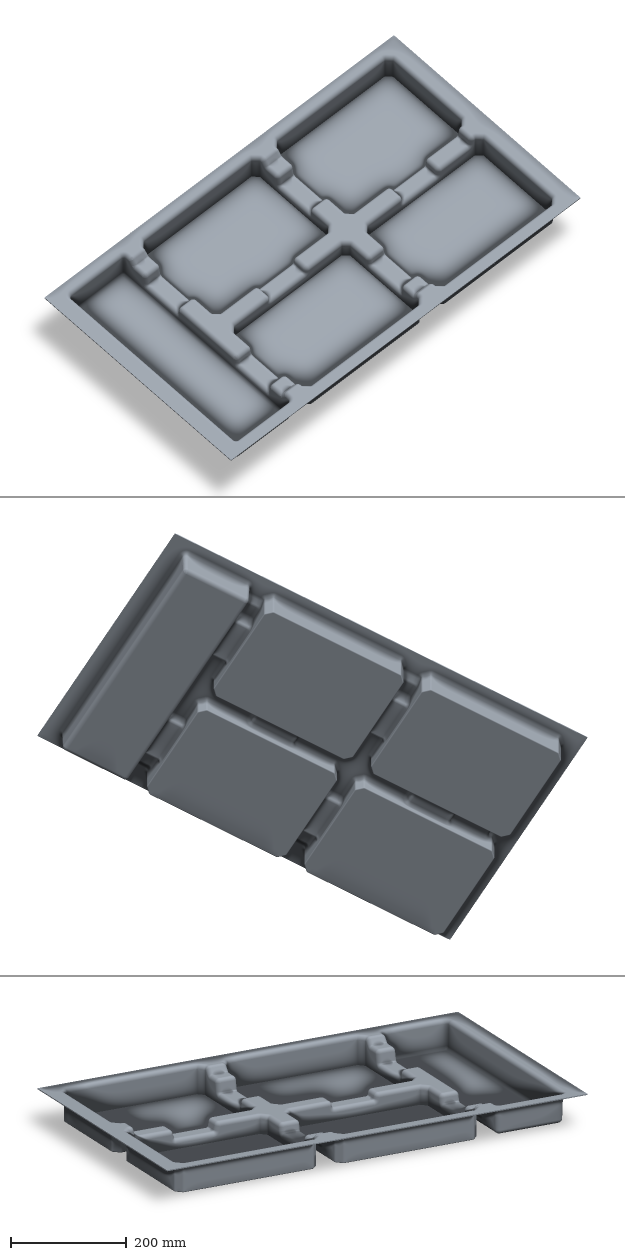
import cadquery as cq
import math

width = 474.0
length = 824.0
height = 56.0
sheet = 2.0
rim_radius = 8.0
block_depth = 2 * height

compartment_edge_x = 212.0
centre_rib_half = 17.5
tub_length = 274.5
tub_chamfer = 10.5
tub_corner_radius = 3.0
tub_bend_radius = 2.0
upper_tub_y = 240.0
lower_tub_y = -74.3
drawer_y = -313.0
drawer_length = 129.5
drawer_draft = 2.0
drawer_corner_radius = 6.0
drawer_floor_radius = 6.0

lip_radius = rim_radius
foot_radius = 3.0
step_slope = 10.0
end_slope = 40.0
shelf_depth = 19.0
end_shelf_depth = 12.0
saddle_depth = 36.5
long_dip_depth = 32.0
rib_overlap = 12.0
trough_top = 20.0
trough_run_out = 12.0
long_run_in = 110.0
strip_half = 5.0
edge_margin = 1.0
level_tolerance = 0.1

half_cross_steps = [
    (-190.5, 0, end_shelf_depth, end_slope),
    (-156, end_shelf_depth, saddle_depth, step_slope),
    (-75, saddle_depth, shelf_depth, step_slope),
]
cross_steps = half_cross_steps + [
    (-place, after, before, slope) for place, before, after, slope in reversed(half_cross_steps)
]
long_steps = [
    (-115, shelf_depth, long_dip_depth, step_slope),
    (-31, long_dip_depth, shelf_depth, step_slope),
    (198, shelf_depth, saddle_depth, step_slope),
    (280, saddle_depth, shelf_depth, step_slope),
    (356.5, shelf_depth, 0, step_slope),
]

cross_ribs = [
    (lower_tub_y + tub_length / 2, upper_tub_y - tub_length / 2),
    (drawer_y + drawer_length / 2, lower_tub_y - tub_length / 2),
]


def tub_cutter(x_sign, y, grow):
    """A chamfered tub, its walls and floor moved outward by grow."""
    x = x_sign * (compartment_edge_x + centre_rib_half) / 2
    half_x = (compartment_edge_x - centre_rib_half) / 2 + grow
    half_y = tub_length / 2 + grow
    leg = tub_chamfer + grow * (2 - math.sqrt(2))
    outline = [
        (half_x, half_y - leg),
        (half_x - leg, half_y),
        (leg - half_x, half_y),
        (-half_x, half_y - leg),
        (-half_x, leg - half_y),
        (leg - half_x, -half_y),
        (half_x - leg, -half_y),
        (half_x, leg - half_y),
    ]
    tub = (
        cq.Workplane("XY")
        .polyline(outline)
        .close()
        .extrude(-(height - sheet + grow))
        .edges("|Z")
        .fillet(tub_corner_radius + grow)
    )
    if grow > 0:
        tub = tub.faces("<Z").edges().fillet(tub_bend_radius)
    return tub.translate((x, y, 0))


def drawer_cutter(grow):
    """The wide rounded compartment across the front."""
    drawer = (
        cq.Workplane("XY")
        .sketch()
        .rect(2 * (compartment_edge_x + grow), drawer_length + 2 * grow)
        .vertices()
        .fillet(drawer_corner_radius + grow)
        .finalize()
        .extrude(-(height - sheet + grow), taper=drawer_draft)
    )
    drawer = drawer.faces("<Z").edges().fillet(drawer_floor_radius + grow)
    return drawer.translate((0, drawer_y, 0))


def saddle_cutter(plane, steps, half_width, run_in, grow):
    """A stepped trough along a rib, its lips and feet rounded."""
    outline = []
    radii = []
    for place, before, after, slope in steps:
        lean = math.radians(slope)
        shift = grow * (1 - math.sin(lean)) / math.cos(lean)
        half_run = abs(after - before) * math.tan(lean) / 2
        goes_down = after > before
        middle = place - shift if goes_down else place + shift
        outline.append((middle - half_run, -before - grow))
        outline.append((middle + half_run, -after - grow))
        lip_then_foot = [lip_radius - grow, foot_radius + grow]
        radii += lip_then_foot if goes_down else lip_then_foot[::-1]
    first_place = outline[0][0] - run_in
    last_place = outline[-1][0] + trough_run_out
    trough = (
        cq.Workplane(plane)
        .moveTo(first_place, trough_top)
        .lineTo(first_place, outline[0][1])
        .polyline(outline, includeCurrent=True)
        .lineTo(last_place, -grow)
        .lineTo(last_place, trough_top)
        .close()
        .extrude(half_width, both=True)
    )
    for corner, radius in zip(outline, radii):
        place = cq.Plane.named(plane).toWorldCoords(corner).toTuple()
        trough = trough.edges(cq.selectors.NearestToPointSelector(place)).fillet(radius)
    return trough


def strip(x_half, y_low, y_high):
    """Selects edges whose centre lies along the middle of a rib."""
    return cq.selectors.BoxSelector((-x_half, y_low, -height), (x_half, y_high, height))


def level(z):
    """Selects edges lying at height z inside the flange outline."""
    x = width / 2 - edge_margin
    y = length / 2 - edge_margin
    low = (-x, -y, z - level_tolerance)
    high = (x, y, z + level_tolerance)
    return cq.selectors.BoxSelector(low, high, boundingbox=True)


def rim_edges(grow):
    """Selects the compartment rims, leaving out the lines that cross the ribs."""
    rims = level(-grow) + level(-shelf_depth - grow)
    for low, high in cross_ribs:
        middle = (low + high) / 2
        rims = rims - strip(width, middle - strip_half, middle + strip_half)
    return rims - strip(strip_half, lower_tub_y - tub_length / 2 + strip_half, length)


def formed_block(grow):
    """Everything below the tray's upper face, that face moved down and outward by grow."""
    block = cq.Workplane("XY").box(width, length, block_depth, centered=(True, True, False))
    block = block.translate((0, 0, -grow - block_depth))
    for y in (upper_tub_y, lower_tub_y):
        for side in (-1, 1):
            block = block.cut(tub_cutter(side, y, grow))
    block = block.cut(drawer_cutter(grow))
    for low, high in cross_ribs:
        half_width = (high - low) / 2 + rib_overlap
        trough = saddle_cutter("XZ", cross_steps, half_width, trough_run_out, grow)
        block = block.cut(trough.translate((0, (low + high) / 2, 0)))
    long_half_width = centre_rib_half + rib_overlap
    block = block.cut(saddle_cutter("YZ", long_steps, long_half_width, long_run_in, grow))
    return block.edges(rim_edges(grow)).fillet(rim_radius - grow)


result = formed_block(0).cut(formed_block(sheet))